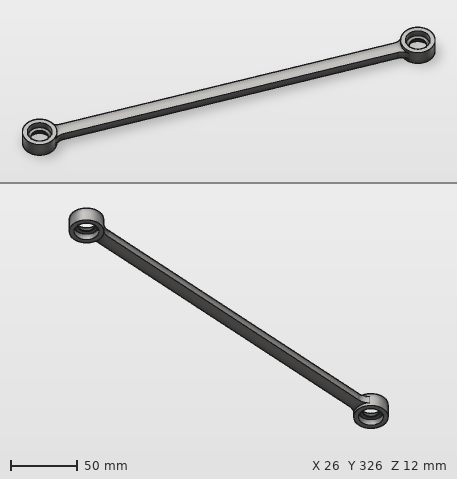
import cadquery as cq
import math

length = 326.0
eye_diameter = 26.0
eye_height = 12.0
eye_radius = eye_diameter / 2
eye_offset = (length - eye_diameter) / 2

bore_diameter = 13.0
counterbore_diameter = 18.5
counterbore_depth = 5.5

bar_width = 10.0
bar_thickness = 6.5
blend_radius = 10.0


def make_bar():
    """Bar between the eye centres, flared by arcs tangent to the eyes."""
    half_width = bar_width / 2
    arc_center_x = half_width + blend_radius
    center_distance = eye_radius + blend_radius
    arc_center_offset = math.sqrt(center_distance**2 - arc_center_x**2)
    bar_end = eye_offset - arc_center_offset

    eye_share = eye_radius / center_distance
    touch_x = arc_center_x * eye_share
    touch_y = eye_offset - arc_center_offset * eye_share
    middle_angle = math.atan2(arc_center_offset, arc_center_x) / 2
    middle_x = arc_center_x - blend_radius * math.cos(middle_angle)
    middle_y = bar_end + blend_radius * math.sin(middle_angle)

    half_bar = (
        cq.Workplane("XY")
        .workplane(offset=-bar_thickness / 2)
        .moveTo(-half_width, 0)
        .lineTo(-half_width, bar_end)
        .threePointArc((-middle_x, middle_y), (-touch_x, touch_y))
        .lineTo(0, eye_offset)
        .lineTo(touch_x, touch_y)
        .threePointArc((middle_x, middle_y), (half_width, bar_end))
        .lineTo(half_width, 0)
        .close()
        .extrude(bar_thickness)
    )
    return half_bar.union(half_bar.mirror("XZ"))


def eye_cylinder(y, diameter, bottom, top):
    return cq.Workplane("XY", origin=(0, y, bottom)).circle(diameter / 2).extrude(top - bottom)


eye_top = eye_height / 2
eye_bottom = -eye_top
rim_top = eye_top - counterbore_depth
rim_bottom = -rim_top

result = make_bar()
for y in (-eye_offset, eye_offset):
    result = result.union(eye_cylinder(y, eye_diameter, eye_bottom, eye_top))
    result = result.cut(eye_cylinder(y, bore_diameter, eye_bottom, eye_top))
    result = result.cut(eye_cylinder(y, counterbore_diameter, rim_top, eye_top))
    result = result.cut(eye_cylinder(y, counterbore_diameter, eye_bottom, rim_bottom))
result = result.clean()